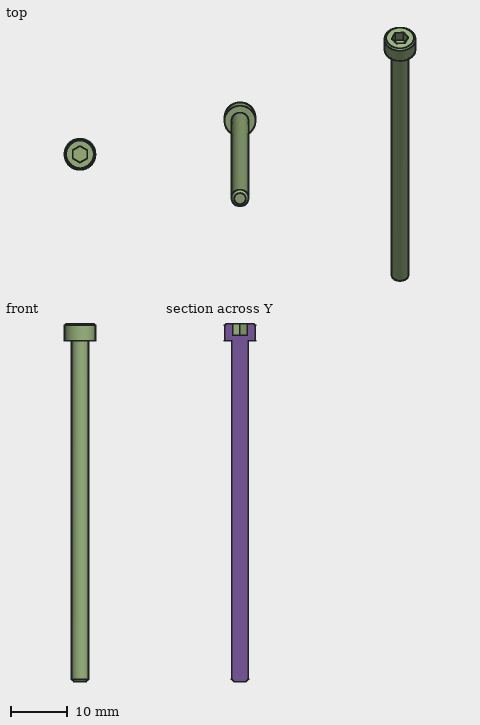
import cadquery as cq

total_length = 63.0
head_diameter = 5.5
shank_diameter = 3.0
head_height = shank_diameter
head_edge_chamfer = 0.3
tip_chamfer = 0.5
socket_across_flats = 2.5
socket_depth = 2.0

shank_length = total_length - head_height
hexagon_sides = 6


def make_shank():
    """Plain round shank with a chamfered tip."""
    shank = cq.Workplane("XY").circle(shank_diameter / 2).extrude(shank_length)
    return shank.faces("<Z").chamfer(tip_chamfer)


def make_head():
    """Cylindrical head with a broken top edge."""
    head = (
        cq.Workplane("XY")
        .workplane(offset=shank_length)
        .circle(head_diameter / 2)
        .extrude(head_height)
    )
    return head.faces(">Z").edges().chamfer(head_edge_chamfer)


def make_socket():
    """Hexagonal key socket with two corners on the Y axis."""
    return (
        cq.Workplane("XY")
        .workplane(offset=total_length)
        .polygon(hexagon_sides, socket_across_flats, circumscribed=True)
        .extrude(-socket_depth)
    )


result = make_shank().union(make_head()).cut(make_socket())